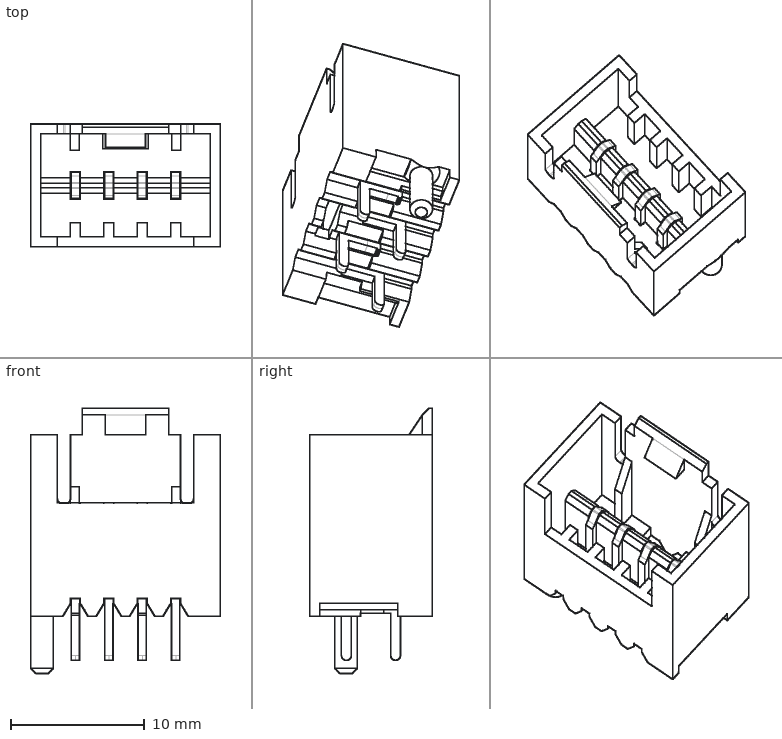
import cadquery as cq

LENGTH = 14.2
WIDTH = 9.2
HEIGHT = 13.6
WALL = 0.75
FLOOR_TOP = 2.0
INNER_LENGTH = LENGTH - 2 * WALL
INNER_WIDTH = WIDTH - 2 * WALL
BACK_WALL_Y = INNER_WIDTH / 2

CUTOUT_HALF = 5.1
CUTOUT_FLOOR = 8.5
TONGUE_HALF = 4.13
TONGUE_SLOT_FLOOR = 8.4
TONGUE_SLOT_RADIUS = 0.43

LATCH_TOP = 15.6
LATCH_HALF = 3.24
LATCH_BEVEL = 0.5
CATCH_HALF = 1.5
CATCH_DEPTH = 1.0
CATCH_WINDOW_HALF = 1.7
CATCH_WINDOW_DEPTH = 1.1

BACK_RIB_OUTER = TONGUE_HALF
BACK_RIB_WIDTH = 0.65
BACK_RIB_DEPTH = 1.23
BACK_RIB_TOP = 9.7
BACK_RIB_SHOULDER = 6.65
FRONT_RIB_WIDTH = 0.75
FRONT_RIB_DEPTH = 1.05

BLADE_HALF = 0.59
BLADE_TOP = 7.3
BLADE_BEVEL = 0.42

PITCH = 2.5
CONTACT_COUNT = 4
CONTACT_X = [(i - (CONTACT_COUNT - 1) / 2) * PITCH for i in range(CONTACT_COUNT)]
CONTACT_THICKNESS = 0.64
CONTACT_HALF = 0.97
CONTACT_TOP = 7.4
CONTACT_TIP_HALF = 0.2
CONTACT_SHOULDER_HALF = 0.73
CONTACT_TIP_HEIGHT = 0.85
CONTACT_SHOULDER_HEIGHT = 0.35
CONTACT_TIP_RADIUS = 0.1
LEG_BOTTOM = 0.22
LEG_TOP = 1.3
HEEL_BACK = -0.8
HEEL_FRONT = -1.1
HEEL_BOTTOM = 0.07
HEEL_CHAMFER = 0.17
TAIL_Y = 1.84
TAIL_WIDTH = 0.75
TAIL_BOTTOM = -3.3
CONTACT_SLOT_WIDTH = 0.75
CONTACT_SLOT_HALF = 1.02
CONTACT_SLOT_FLOOR = 1.7

NOTCH_HALF = 0.94
NOTCH_HEIGHT = 0.93
LEG_SLOT_TOP = 1.36
RELIEF_BACK = 1.99
RELIEF_FRONT = -BACK_WALL_Y
SIDE_RELIEF_HEIGHT = 0.97
SIDE_RELIEF_HALF = 5.4
STEP_RELIEF_HEIGHT = 0.48
STEP_RELIEF_HALF = 4.9
FOOT_BACK = -0.77

POST_DIAMETER = 1.7
POST_X = -(LENGTH - POST_DIAMETER) / 2
POST_Y = -1.87
POST_BOTTOM = -4.3
POST_CHAMFER = 0.4
POST_CONE_HEIGHT = 0.55
POST_CONE_FLARE = 0.53


def block(x_range, y_range, z_range):
    """Box spanning the given (low, high) ranges."""
    size = [high - low for low, high in (x_range, y_range, z_range)]
    corner = (x_range[0], y_range[0], z_range[0])
    return cq.Workplane("XY").box(*size, centered=False).translate(corner)


def side_profile(points, x_center, thickness):
    """Prism from a (y, z) outline, centred on x_center along X."""
    prism = cq.Workplane("YZ").polyline(points).close().extrude(thickness / 2, both=True)
    return prism.translate((x_center, 0, 0))


def make_housing():
    shell = block((-LENGTH / 2, LENGTH / 2), (-WIDTH / 2, WIDTH / 2), (0, HEIGHT))
    cavity = block(
        (-INNER_LENGTH / 2, INNER_LENGTH / 2), (-BACK_WALL_Y, BACK_WALL_Y), (FLOOR_TOP, HEIGHT)
    )
    cutout = block((-CUTOUT_HALF, CUTOUT_HALF), (-WIDTH / 2, -BACK_WALL_Y), (CUTOUT_FLOOR, HEIGHT))
    shell = shell.cut(cavity).cut(cutout)
    for low in (-CUTOUT_HALF, TONGUE_HALF):
        slot = block(
            (low, low + CUTOUT_HALF - TONGUE_HALF), (BACK_WALL_Y, WIDTH / 2), (TONGUE_SLOT_FLOOR, HEIGHT)
        )
        shell = shell.cut(slot.edges("|Y and <Z").fillet(TONGUE_SLOT_RADIUS))
    return shell


def make_latch():
    """Narrow tongue tip with a bevelled top, and the wedge-shaped catch below it."""
    bevel_start = LATCH_TOP - LATCH_BEVEL
    tip_outline = [
        (BACK_WALL_Y, HEIGHT),
        (BACK_WALL_Y, bevel_start),
        (BACK_WALL_Y + LATCH_BEVEL, LATCH_TOP),
        (WIDTH / 2, LATCH_TOP),
        (WIDTH / 2, HEIGHT),
    ]
    catch_outline = [
        (BACK_WALL_Y, HEIGHT),
        (BACK_WALL_Y - CATCH_DEPTH, HEIGHT),
        (BACK_WALL_Y, bevel_start),
    ]
    tip = side_profile(tip_outline, 0, 2 * LATCH_HALF)
    return tip.union(side_profile(catch_outline, 0, 2 * CATCH_HALF))


def make_catch_window():
    """Opening through the floor directly below the catch."""
    return block(
        (-CATCH_WINDOW_HALF, CATCH_WINDOW_HALF),
        (BACK_WALL_Y - CATCH_WINDOW_DEPTH, BACK_WALL_Y),
        (0, FLOOR_TOP),
    )


def make_back_ribs():
    front = BACK_WALL_Y - BACK_RIB_DEPTH
    outline = [
        (BACK_WALL_Y, FLOOR_TOP),
        (front, FLOOR_TOP),
        (front, BACK_RIB_SHOULDER),
        (BACK_WALL_Y, BACK_RIB_TOP),
    ]
    x_center = BACK_RIB_OUTER - BACK_RIB_WIDTH / 2
    left = side_profile(outline, -x_center, BACK_RIB_WIDTH)
    return left.union(side_profile(outline, x_center, BACK_RIB_WIDTH))


def make_front_rib(x):
    return block(
        (x - FRONT_RIB_WIDTH / 2, x + FRONT_RIB_WIDTH / 2),
        (-BACK_WALL_Y, -BACK_WALL_Y + FRONT_RIB_DEPTH),
        (FLOOR_TOP, CUTOUT_FLOOR),
    )


def make_blade():
    blade = block(
        (-INNER_LENGTH / 2, INNER_LENGTH / 2), (-BLADE_HALF, BLADE_HALF), (FLOOR_TOP, BLADE_TOP)
    )
    return blade.edges("|X and >Z").chamfer(BLADE_BEVEL)


def make_contact_slot(x):
    """Clearance around a contact, through the blade and into the floor."""
    return block(
        (x - CONTACT_SLOT_WIDTH / 2, x + CONTACT_SLOT_WIDTH / 2),
        (-CONTACT_SLOT_HALF, CONTACT_SLOT_HALF),
        (CONTACT_SLOT_FLOOR, BLADE_TOP),
    )


def make_contact(x, side):
    """Flat contact with a tapered tip; its tail leaves toward +Y (side 1) or -Y (side -1)."""
    taper_end = CONTACT_TOP - CONTACT_TIP_HEIGHT
    shoulder_end = taper_end - CONTACT_SHOULDER_HEIGHT
    half_tip = [
        (CONTACT_HALF, LEG_BOTTOM),
        (CONTACT_HALF, shoulder_end),
        (CONTACT_SHOULDER_HALF, taper_end),
        (CONTACT_TIP_HALF, CONTACT_TOP),
    ]
    mirrored_tip = [(-y, z) for y, z in reversed(half_tip)]
    upright = side_profile(half_tip + mirrored_tip, x, CONTACT_THICKNESS)
    upright = upright.faces(">Z").edges("|X").fillet(CONTACT_TIP_RADIUS)

    x_range = (x - CONTACT_THICKNESS / 2, x + CONTACT_THICKNESS / 2)
    tail_outer = TAIL_Y + TAIL_WIDTH / 2
    leg = block(x_range, sorted((0, side * tail_outer)), (LEG_BOTTOM, LEG_TOP))
    tail_edges = sorted((side * (tail_outer - TAIL_WIDTH), side * tail_outer))
    tail_radius = TAIL_WIDTH / 2
    tail = block(x_range, tail_edges, (TAIL_BOTTOM + tail_radius, LEG_TOP))
    tail_tip = (
        cq.Workplane("YZ")
        .center(side * TAIL_Y, TAIL_BOTTOM + tail_radius)
        .circle(tail_radius)
        .extrude(CONTACT_THICKNESS / 2, both=True)
        .translate((x, 0, 0))
    )
    return upright.union(leg).union(tail).union(tail_tip)


def make_heel(x):
    """Chamfered foot at the front of a contact whose tail leaves toward +Y."""
    outline = [
        (0, LEG_TOP),
        (0, LEG_BOTTOM),
        (HEEL_BACK, LEG_BOTTOM),
        (HEEL_BACK, HEEL_BOTTOM),
        (HEEL_FRONT + HEEL_CHAMFER, HEEL_BOTTOM),
        (HEEL_FRONT, HEEL_BOTTOM + HEEL_CHAMFER),
        (HEEL_FRONT, LEG_TOP),
    ]
    return side_profile(outline, x, CONTACT_THICKNESS)


def make_notch(x):
    """Tapered notch across the whole underside, with a blind slot for the contact leg above it."""
    slot_half = CONTACT_SLOT_WIDTH / 2
    outline = [
        (x - NOTCH_HALF, 0),
        (x + NOTCH_HALF, 0),
        (x + slot_half, NOTCH_HEIGHT),
        (x - slot_half, NOTCH_HEIGHT),
    ]
    notch = cq.Workplane("XZ").polyline(outline).close().extrude(WIDTH / 2, both=True)
    leg_slot = block(
        (x - slot_half, x + slot_half), (-WIDTH / 2, -CONTACT_HALF), (0, LEG_SLOT_TOP)
    )
    return notch.union(leg_slot)


def make_underside_relief():
    """Stepped reliefs through both end walls, and the channel joining them behind the front foot."""
    relief_y = (RELIEF_FRONT, RELIEF_BACK)
    relief = block((-LENGTH / 2, LENGTH / 2), (FOOT_BACK, RELIEF_BACK), (0, STEP_RELIEF_HEIGHT))
    steps = [(SIDE_RELIEF_HALF, SIDE_RELIEF_HEIGHT), (STEP_RELIEF_HALF, STEP_RELIEF_HEIGHT)]
    for inner, height in steps:
        relief = relief.union(block((-LENGTH / 2, -inner), relief_y, (0, height)))
        relief = relief.union(block((inner, LENGTH / 2), relief_y, (0, height)))
    return relief


def make_post():
    """Round locating post on a conical root that stays inside the housing outline."""
    radius = POST_DIAMETER / 2
    cone_bottom = SIDE_RELIEF_HEIGHT - POST_CONE_HEIGHT
    outline = [
        (0, POST_BOTTOM),
        (radius - POST_CHAMFER, POST_BOTTOM),
        (radius, POST_BOTTOM + POST_CHAMFER),
        (radius, cone_bottom),
        (radius + POST_CONE_FLARE, SIDE_RELIEF_HEIGHT),
        (0, SIDE_RELIEF_HEIGHT),
    ]
    post = cq.Workplane("XZ").polyline(outline).close().revolve(360, (0, 0, 0), (0, 1, 0))
    post = post.translate((POST_X, POST_Y, 0))
    envelope = block((-LENGTH / 2, 0), (-WIDTH / 2, FOOT_BACK), (POST_BOTTOM, HEIGHT))
    return post.intersect(envelope)


result = make_housing().union(make_latch()).union(make_back_ribs()).union(make_blade())
result = result.cut(make_catch_window()).cut(make_underside_relief())
for contact_x in CONTACT_X:
    result = result.union(make_front_rib(contact_x))
    result = result.cut(make_contact_slot(contact_x)).cut(make_notch(contact_x))
for index, contact_x in enumerate(CONTACT_X):
    if index % 2 == 0:
        result = result.union(make_contact(contact_x, 1)).union(make_heel(contact_x))
    else:
        result = result.union(make_contact(contact_x, -1))
result = result.union(make_post())